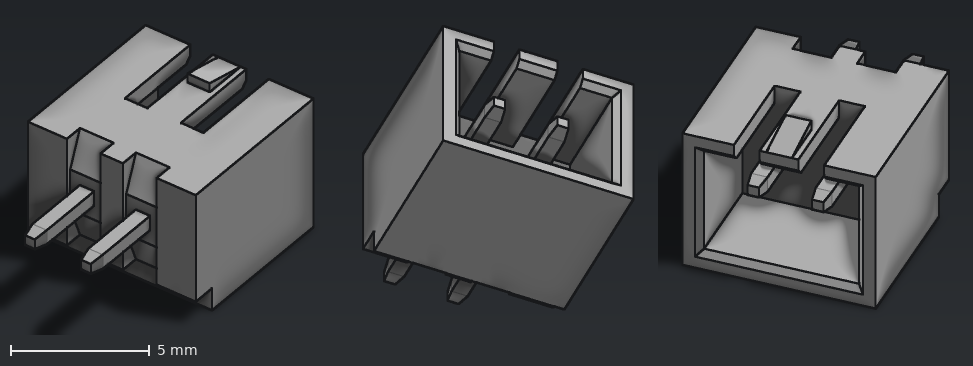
import cadquery as cq

length = 10.5
width = 7.5
body_depth = 7.2
body_height = 5.8
tail_length = length - body_depth

step_size = 1.0

pitch = 2.5
pin_size = 0.64
pin_tip_size = 0.44
pin_taper = 0.6
pin_height = 3.46
pin_setback = 0.64
contact_positions = (-pitch / 2, pitch / 2)

pocket_width = 1.5
pocket_shallow = 0.2
pocket_deep = 0.8
pocket_slope_height = 1.5

wall = 0.75
cavity_depth = 4.0
mouth_chamfer_depth = 0.25
mouth_chamfer_rise = 0.25

slot_width = 1.0
latch_width = 1.0
latch_length = 1.9
latch_height = 6.2 - body_height


def profile_along_x(points, x_center, x_width):
    """Extrude a closed (Y, Z) outline symmetrically about x_center."""
    prism = cq.Workplane("YZ").polyline(points).close().extrude(x_width / 2, both=True)
    return prism.translate((x_center, 0, 0))


def box_between(x_center, x_width, y_range, z_range):
    """Box centred on x_center that spans the given Y and Z ranges."""
    (y0, y1), (z0, z1) = y_range, z_range
    box = cq.Workplane("XY").box(x_width, y1 - y0, z1 - z0, centered=(True, False, False))
    return box.translate((x_center, y0, z0))


def make_body():
    outline = [
        (step_size, 0),
        (body_depth, 0),
        (body_depth, body_height),
        (0, body_height),
        (0, step_size),
        (step_size, step_size),
    ]
    return profile_along_x(outline, 0, width)


def make_cavity():
    inner_width = width - 2 * wall
    inner_height = body_height - 2 * wall
    cavity = box_between(
        0, inner_width, (body_depth - cavity_depth, body_depth), (wall, body_height - wall)
    )
    mouth = (
        cq.Workplane("XZ", origin=(0, body_depth - mouth_chamfer_depth, body_height / 2))
        .rect(inner_width, inner_height)
        .workplane(offset=-mouth_chamfer_depth)
        .rect(inner_width + 2 * mouth_chamfer_rise, inner_height + 2 * mouth_chamfer_rise)
        .loft(ruled=True)
    )
    return cavity.union(mouth)


def make_pocket(x_center):
    outline = [
        (0, step_size),
        (pocket_deep, step_size),
        (pocket_shallow, step_size + pocket_slope_height),
        (pocket_shallow, body_height - pocket_slope_height),
        (pocket_deep, body_height),
        (0, body_height),
    ]
    return profile_along_x(outline, x_center, pocket_width)


def make_slot(x_center):
    return box_between(
        x_center, slot_width, (body_depth - cavity_depth, body_depth), (body_height / 2, body_height)
    )


def make_latch():
    outline = [
        (body_depth, body_height),
        (body_depth - latch_length, body_height + latch_height),
        (body_depth - latch_length, body_height),
    ]
    return profile_along_x(outline, 0, latch_width)


def make_pin(x_center):
    rear = -tail_length
    front = body_depth - pin_setback
    middle = (rear + front) / 2
    shank = (front - rear) / 2 - pin_taper
    half = (
        cq.Workplane("XZ")
        .rect(pin_size, pin_size)
        .extrude(shank)
        .faces("<Y")
        .workplane()
        .rect(pin_size, pin_size)
        .workplane(offset=pin_taper)
        .rect(pin_tip_size, pin_tip_size)
        .loft(ruled=True, combine=True)
    )
    pin = half.union(half.mirror("XZ"))
    return pin.translate((x_center, middle, pin_height))


result = make_body().cut(make_cavity()).union(make_latch())
for x_position in contact_positions:
    result = result.cut(make_pocket(x_position)).cut(make_slot(x_position))
for x_position in contact_positions:
    result = result.union(make_pin(x_position))